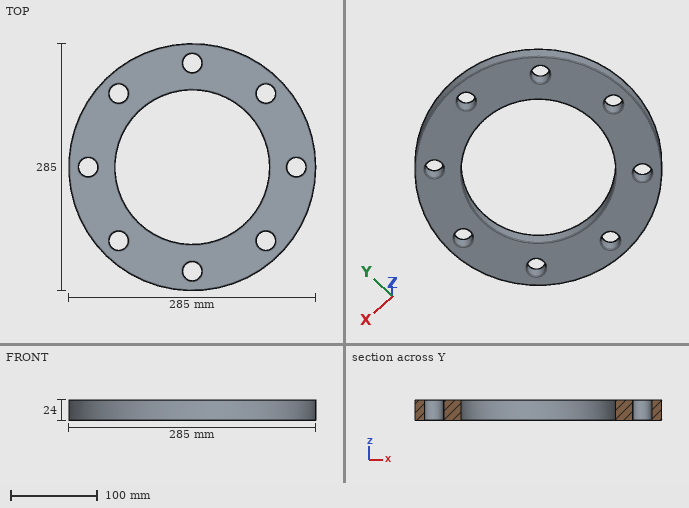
import cadquery as cq

outer_diameter = 285.0
bore_diameter = 178.0
thickness = 24.0

bolt_circle_diameter = 240.0
bolt_hole_count = 8
bolt_hole_diameter = 22.0

edge_radius = 1.0


def ring_blank():
    """Plain disc with the central bore."""
    return (
        cq.Workplane("XY")
        .circle(outer_diameter / 2)
        .circle(bore_diameter / 2)
        .extrude(thickness)
    )


def bolt_holes():
    """Through-hole cylinders evenly spaced on the bolt circle."""
    return (
        cq.Workplane("XY")
        .polarArray(bolt_circle_diameter / 2, 0, 360, bolt_hole_count)
        .circle(bolt_hole_diameter / 2)
        .extrude(thickness)
    )


flange = ring_blank().cut(bolt_holes())
result = flange.faces("|Z").edges().fillet(edge_radius)